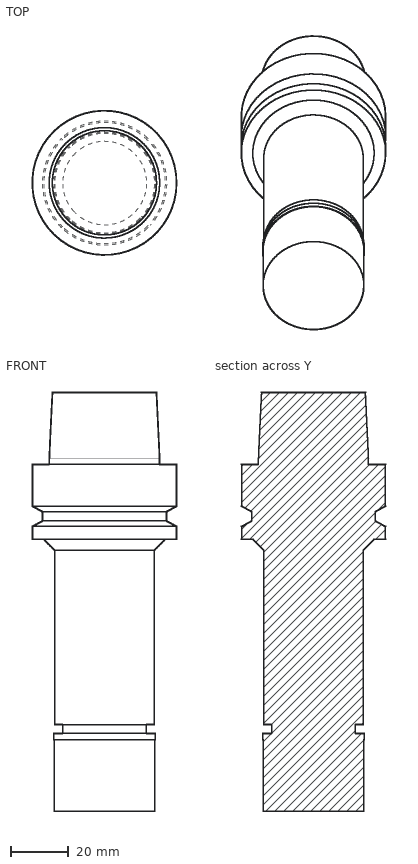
import cadquery as cq

total_length = 145.0

nut_diameter = 35.0
nut_collar_diameter = 35.2
nut_body_top = 24.8
nut_top = 27.0

neck_diameter = 29.0
neck_top = 30.0
body_diameter = 34.5
body_top = 90.3

flange_diameter = 50.0
flange_bottom = 94.1
flange_top = 120.0
groove_diameter = 43.0
groove_bottom = 98.6
groove_top = 105.5
groove_bevel_height = 1.9

seat_diameter = 38.3
seat_top = 122.2
taper_end_diameter = 36.1

cone_top_diameter = body_diameter + 2 * (flange_bottom - body_top)

profile = [
    (nut_diameter, 0),
    (nut_diameter, nut_body_top),
    (nut_collar_diameter, nut_body_top),
    (nut_collar_diameter, nut_top),
    (neck_diameter, nut_top),
    (neck_diameter, neck_top),
    (body_diameter, neck_top),
    (body_diameter, body_top),
    (cone_top_diameter, flange_bottom),
    (flange_diameter, flange_bottom),
    (flange_diameter, groove_bottom),
    (groove_diameter, groove_bottom + groove_bevel_height),
    (groove_diameter, groove_top - groove_bevel_height),
    (flange_diameter, groove_top),
    (flange_diameter, flange_top),
    (seat_diameter, flange_top),
    (seat_diameter, seat_top),
    (taper_end_diameter, total_length),
]

outline = [(0, 0)]
for diameter, height in profile:
    outline.append((diameter / 2, height))
outline.append((0, total_length))

result = cq.Workplane("XZ").polyline(outline).close().revolve(360, (0, 0), (0, 1))